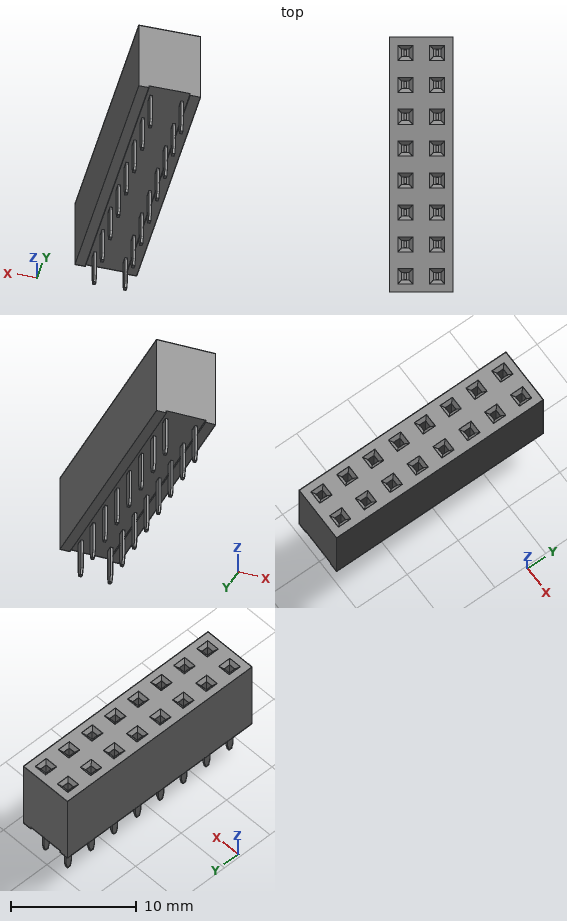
import cadquery as cq

PITCH = 2.54
COLUMNS = 2
ROWS = 8

BODY_WIDTH = COLUMNS * PITCH
BODY_LENGTH = ROWS * PITCH
BODY_HEIGHT = 7.0
FOOT_WIDTH = 0.85
FOOT_HEIGHT = 0.2

FUNNEL_SIZE = 1.2
SOCKET_SIZE = 0.6
FUNNEL_DEPTH = (FUNNEL_SIZE - SOCKET_SIZE) / 2
SOCKET_FLOOR_Z = 1.0

BLADE_THICKNESS = 0.2
BLADE_WIDTH = 0.6
BLADE_RISE = 0.2
BLADE_END_WIDTH = 0.5
TAIL_LENGTH = 3.1
TIP_LENGTH = 0.6
TIP_WIDTH = 0.3


def make_body():
    """Rectangular block with a lengthwise channel underneath that leaves two feet."""
    block = cq.Workplane("XY").box(BODY_WIDTH, BODY_LENGTH, BODY_HEIGHT, centered=(True, True, False))
    channel_width = BODY_WIDTH - 2 * FOOT_WIDTH
    channel = cq.Workplane("XY").box(channel_width, BODY_LENGTH, FOOT_HEIGHT, centered=(True, True, False))
    return block.cut(channel)


def make_socket():
    """Cutter for one socket: tapered funnel plus straight square hole."""
    funnel = (
        cq.Workplane("XY", origin=(0, 0, BODY_HEIGHT))
        .rect(FUNNEL_SIZE, FUNNEL_SIZE)
        .workplane(offset=-FUNNEL_DEPTH)
        .rect(SOCKET_SIZE, SOCKET_SIZE)
        .loft(ruled=True)
    )
    hole = (
        cq.Workplane("XY", origin=(0, 0, SOCKET_FLOOR_Z))
        .rect(SOCKET_SIZE, SOCKET_SIZE)
        .extrude(BODY_HEIGHT - FUNNEL_DEPTH - SOCKET_FLOOR_Z)
    )
    return funnel.union(hole)


def make_contact():
    """Flat blade in the YZ plane with a tapered lower tip and a narrower upper end."""
    half_width = BLADE_WIDTH / 2
    half_end = BLADE_END_WIDTH / 2
    half_tip = TIP_WIDTH / 2
    top_z = SOCKET_FLOOR_Z + BLADE_RISE
    taper_z = TIP_LENGTH - TAIL_LENGTH
    outline = [
        (-half_end, top_z),
        (-half_end, SOCKET_FLOOR_Z),
        (-half_width, SOCKET_FLOOR_Z),
        (-half_width, taper_z),
        (-half_tip, -TAIL_LENGTH),
        (half_tip, -TAIL_LENGTH),
        (half_width, taper_z),
        (half_width, SOCKET_FLOOR_Z),
        (half_end, SOCKET_FLOOR_Z),
        (half_end, top_z),
    ]
    return cq.Workplane("YZ").polyline(outline).close().extrude(BLADE_THICKNESS / 2, both=True)


def build_connector():
    """Body with a socket and a contact at every grid position."""
    grid = cq.Workplane("XY").rarray(PITCH, PITCH, COLUMNS, ROWS)
    socket = make_socket().val()
    contact = make_contact().val()
    sockets = grid.eachpoint(lambda location: socket.moved(location), combine=False)
    contacts = grid.eachpoint(lambda location: contact.moved(location), combine=False)
    return make_body().cut(sockets).union(contacts)


result = build_connector()